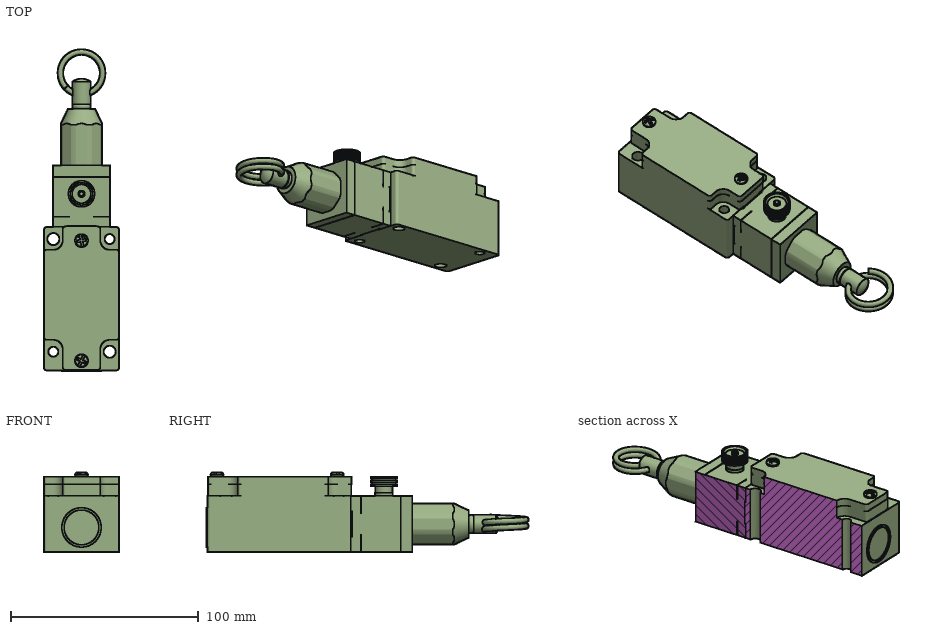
import cadquery as cq
import math


housing_width = 40.0
housing_length = 76.5
floor_height = 30.0
seam_height = 36.2
cover_top = 40.3
base_shift = 0.3
cover_shift = 0.35
edge_radius = 1.5
front_pocket_length = 16.0
rear_pocket_length = 12.5
pocket_width = 10.0
pocket_radius = 5.0

tolerance = 0.01

hole_spacing_x = 30.0
hole_spacing_y = 60.0
front_hole_y = 10.0
small_hole_diameter = 5.2
large_hole_diameter = 6.3

plug_z = 13.2
plug_diameter = 21.0
plug_recess_diameter = 18.5
plug_height = 0.5

screw_positions = ((5.2, 65.0), (69.2, 100.0))
screw_neck_diameter = 6.3
screw_head_diameter = 7.0
screw_top_diameter = 4.8
screw_neck_height = 0.9
screw_top = 42.51
screw_dome_middle = (3.1, 42.1)
cross_length = 4.8
slot_width = 1.2
slot_depth = 1.0

head_width = 30.6
head_height = floor_height
head_front_y = housing_length
head_rear_y = 109.2
flange_start_y = 103.0
joint_width = 0.1
flange_joint_depth = 0.1
turning_joint_y = 81.8
spigot_diameter = 32.7
spigot_height = 0.6
axis_z = 0.5 * head_height

cap_end_y = 131.6
cone_end_y = 139.3
cap_across_flats = 22.0
cap_round_diameter = 22.8
cone_tip_diameter = 14.6
cap_sides = 8
rod_diameter = 10.0
bead_root_diameter = 9.0
bead_end_y = 141.8
rod_shoulder_y = 153.7
rod_dome_height = 1.8

knob_y = 94.1
knob_diameter = 14.0
knob_bottom = 35.2
knob_top = cover_top
knob_neck_diameter = 9.3
knob_collar_diameter = 9.6
knob_collar_height = 1.6
knob_groove_depth = 0.6
knob_band_count = 5
knob_dish_diameter = 12.0
knob_dish_floor_diameter = 10.0
knob_dish_depth = 1.3
knob_post_diameter = 3.5
knob_post_chamfer = 0.6

wire_diameter = 3.1
ring_outer_diameter = 25.6
ring_pitch = 3.35
ring_rear_y = 171.16
ring_sweep_angle = 672.5
ring_inner_end_z = axis_z - 2.7


def rounded_block(width, y_range, z_range):
    """Block centred on X = 0 with its vertical edges rounded."""
    length = y_range[1] - y_range[0]
    block = cq.Workplane("XY").rect(width, length).extrude(z_range[1] - z_range[0])
    return block.edges("|Z").fillet(edge_radius).translate((0, 0.5 * sum(y_range), z_range[0]))


def rope_plane(y):
    """Sketch plane across the rope axis: local X is X, local Y is -Z, extrusion goes to +Y."""
    return cq.Workplane(cq.Plane(origin=(0, y, axis_z), xDir=(1, 0, 0), normal=(0, 1, 0)))


def turned(profile, center):
    """Solid of revolution about the vertical line through center; profile is (radius, Z) points."""
    return cq.Workplane("XZ").polyline(profile).close().revolve(360, (0, 0), (0, 1)).translate(center)


def head_section(y_range, inset=0.0):
    """Rectangular slice of the head, optionally smaller all round."""
    outline = rope_plane(y_range[0]).rect(head_width - 2 * inset, head_height - 2 * inset)
    return outline.extrude(y_range[1] - y_range[0])


def spigot():
    """Round locating disc on the housing; its rim is trimmed flush where it reaches the head's sides."""
    disc = rope_plane(head_front_y).circle(0.5 * spigot_diameter).extrude(spigot_height)
    return disc.intersect(head_section((head_front_y, head_front_y + spigot_height)))




def cover_layer(z_range):
    """Cross-shaped layer that leaves the four mounting corners free."""
    shoulder_front = front_pocket_length
    shoulder_rear = housing_length - rear_pocket_length
    tongue_width = housing_width - 2 * pocket_width
    layer = rounded_block(housing_width, (shoulder_front, shoulder_rear), z_range)
    layer = layer.union(rounded_block(tongue_width, (0, housing_length), z_range))

    def is_inner_corner(edge):
        middle = edge.Center()
        on_tongue_side = abs(abs(middle.x) - 0.5 * tongue_width) < tolerance
        on_shoulder = min(abs(middle.y - shoulder_front), abs(middle.y - shoulder_rear)) < tolerance
        return on_tongue_side and on_shoulder

    return layer.edges("|Z").filter(is_inner_corner).fillet(pocket_radius)


def drill_mounting_holes(body):
    """Small and large holes lie on opposite diagonals."""
    for side in (-1, 1):
        for row in (0, 1):
            is_large = (side == 1) == (row == 0)
            diameter = large_hole_diameter if is_large else small_hole_diameter
            y = front_hole_y + row * hole_spacing_y
            drill = cq.Workplane("XY").center(side * 0.5 * hole_spacing_x, y)
            body = body.cut(drill.circle(0.5 * diameter).extrude(cover_top))
    return body


def cover_screw(y, slot_angle):
    """Domed screw head on a short neck, with a through slot and a shorter cross slot."""
    rim_z = cover_top + screw_neck_height
    screw = (
        cq.Workplane("XZ")
        .moveTo(0, cover_top)
        .lineTo(0.5 * screw_neck_diameter, cover_top)
        .lineTo(0.5 * screw_head_diameter, rim_z)
        .threePointArc(screw_dome_middle, (0.5 * screw_top_diameter, screw_top))
        .lineTo(0, screw_top)
        .close()
        .revolve(360, (0, 0), (0, 1))
    )
    for length, angle in ((screw_head_diameter, slot_angle), (cross_length, slot_angle + 90)):
        slot = cq.Workplane("XY").box(length, slot_width, 2 * slot_depth)
        screw = screw.cut(slot.rotate((0, 0, 0), (0, 0, 1), angle).translate((0, 0, screw_top)))
    return screw.translate((0, y, 0))


def conduit_plug():
    """Raised ring around the conduit entry."""
    plane = cq.Plane(origin=(0, 0, plug_z), xDir=(1, 0, 0), normal=(0, -1, 0))
    return (
        cq.Workplane(plane)
        .circle(0.5 * plug_diameter)
        .circle(0.5 * plug_recess_diameter)
        .extrude(plug_height)
    )


def make_housing():
    housing = rounded_block(housing_width, (0, housing_length), (0, floor_height))
    housing = housing.union(cover_layer((floor_height, seam_height)).translate((0, base_shift, 0)))
    housing = housing.union(cover_layer((seam_height, cover_top)).translate((0, cover_shift, 0)))
    housing = drill_mounting_holes(housing)
    for y, slot_angle in screw_positions:
        housing = housing.union(cover_screw(y, slot_angle))
    return housing.union(conduit_plug()).union(spigot())




def head_block():
    """Square block with hairline joints behind its turning section and in front of its flange."""
    block = head_section((head_front_y, head_rear_y))
    turning_joint = head_section((turning_joint_y, turning_joint_y + joint_width))
    core = rope_plane(turning_joint_y).circle(0.5 * spigot_diameter).extrude(joint_width)
    block = block.cut(turning_joint.cut(core))
    flange_joint_range = (flange_start_y, flange_start_y + joint_width)
    flange_joint = head_section(flange_joint_range).cut(head_section(flange_joint_range, flange_joint_depth))
    return block.cut(flange_joint).cut(spigot())


def gland_cap():
    """Turned cap with a conical end and flats on its cylindrical part."""
    round_radius = 0.5 * cap_round_diameter
    tip_radius = 0.5 * cone_tip_diameter
    flat_radius = 0.5 * cap_across_flats
    cone_slope = (cone_end_y - cap_end_y) / (flat_radius - tip_radius)
    round_end_y = cap_end_y - cone_slope * (round_radius - flat_radius)
    cap = rope_plane(head_rear_y).circle(round_radius).extrude(round_end_y - head_rear_y)
    cone = (
        rope_plane(round_end_y)
        .circle(round_radius)
        .workplane(offset=cone_end_y - round_end_y)
        .circle(tip_radius)
        .loft()
    )
    prism_diameter = cap_across_flats / math.cos(math.pi / cap_sides)
    prism = (
        rope_plane(head_rear_y)
        .transformed(rotate=(0, 0, 180 / cap_sides))
        .polygon(cap_sides, prism_diameter)
        .extrude(cone_end_y - head_rear_y)
    )
    return cap.union(cone).intersect(prism)


def pull_rod():
    """Rod with a rounded bead at the gland cap and a domed end."""
    radius = 0.5 * rod_diameter
    root_radius = 0.5 * bead_root_diameter
    dome_radius = (radius**2 + rod_dome_height**2) / (2 * rod_dome_height)
    dome_tip_y = rod_shoulder_y + rod_dome_height
    half_angle = 0.5 * math.asin(radius / dome_radius)
    dome_middle = (
        dome_radius * math.sin(half_angle),
        dome_tip_y - dome_radius * (1 - math.cos(half_angle)),
    )
    return (
        cq.Workplane("XY", origin=(0, 0, axis_z))
        .moveTo(0, cone_end_y)
        .lineTo(root_radius, cone_end_y)
        .threePointArc((radius, 0.5 * (cone_end_y + bead_end_y)), (root_radius, bead_end_y))
        .lineTo(radius, bead_end_y)
        .lineTo(radius, rod_shoulder_y)
        .threePointArc(dome_middle, (0, dome_tip_y))
        .close()
        .revolve(360, (0, 0), (0, 1))
    )


def reset_knob():
    knob_radius = 0.5 * knob_diameter
    base_z = head_height
    collar_top = base_z + knob_collar_height
    dish_floor_z = knob_top - knob_dish_depth
    knob = turned(
        [
            (0, base_z),
            (0.5 * knob_collar_diameter, base_z),
            (0.5 * knob_collar_diameter, collar_top),
            (0.5 * knob_neck_diameter, collar_top),
            (0.5 * knob_neck_diameter, knob_bottom),
            (knob_radius, knob_bottom),
            (knob_radius, knob_top),
            (0.5 * knob_dish_diameter, knob_top),
            (0.5 * knob_dish_floor_diameter, dish_floor_z),
            (0, dish_floor_z),
        ],
        (0, knob_y, 0),
    )
    band_height = (knob_top - knob_bottom) / knob_band_count
    groove = cq.Workplane("XY").circle(knob_radius).circle(knob_radius - knob_groove_depth)
    groove = groove.extrude(band_height)
    for band in range(1, knob_band_count, 2):
        knob = knob.cut(groove.translate((0, knob_y, knob_bottom + band * band_height)))
    post = cq.Workplane("XY").circle(0.5 * knob_post_diameter).extrude(knob_dish_depth)
    post = post.faces(">Z").chamfer(knob_post_chamfer)
    return knob.union(post.translate((0, knob_y, dish_floor_z)))


def make_head(ring):
    """The rod is pierced by the ring, so the ring's own shape is the hole."""
    head = head_block().union(gland_cap()).union(pull_rod()).union(reset_knob())
    return head.cut(ring)




def make_ring():
    coil_radius = 0.5 * (ring_outer_diameter - wire_diameter)
    coil_height = ring_pitch * ring_sweep_angle / 360
    path = cq.Wire.makeHelix(ring_pitch, coil_height, coil_radius)
    section = cq.Workplane("XZ").center(coil_radius, 0).circle(0.5 * wire_diameter)
    ring = section.sweep(cq.Workplane(path), isFrenet=True)
    ring = ring.rotate((0, 0, 0), (0, 0, 1), -90)
    return ring.translate((0, ring_rear_y - 0.5 * ring_outer_diameter, ring_inner_end_z))


housing = make_housing()
split_ring = make_ring()
head = make_head(split_ring)

result = cq.Compound.makeCompound([housing.val(), head.val(), split_ring.val()])